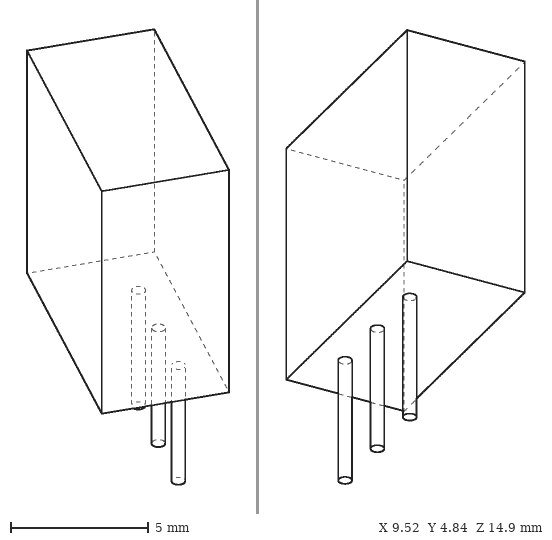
import cadquery as cq

total_height = 14.88
housing_width = 9.52
housing_depth = 4.84

pin_diameter = 0.5
pin_length = 5.09
pin_pitch = 2.55
pin_count = 3
pin_row_inset = 1.26

housing_height = total_height - pin_length
pin_row_y = housing_depth / 2 - pin_row_inset


def make_housing():
    """Plain rectangular block standing on Z = 0."""
    return cq.Workplane("XY").box(
        housing_width, housing_depth, housing_height, centered=(True, True, False)
    )


def make_pin(x):
    """Round pin hanging from the underside of the housing."""
    return (
        cq.Workplane("XY")
        .center(x, pin_row_y)
        .circle(pin_diameter / 2)
        .extrude(-pin_length)
    )


housing = make_housing()

pins = []
for index in range(pin_count):
    pin_x = (index - (pin_count - 1) / 2) * pin_pitch
    pins.append(make_pin(pin_x).val())

result = cq.Compound.makeCompound([housing.val(), *pins])